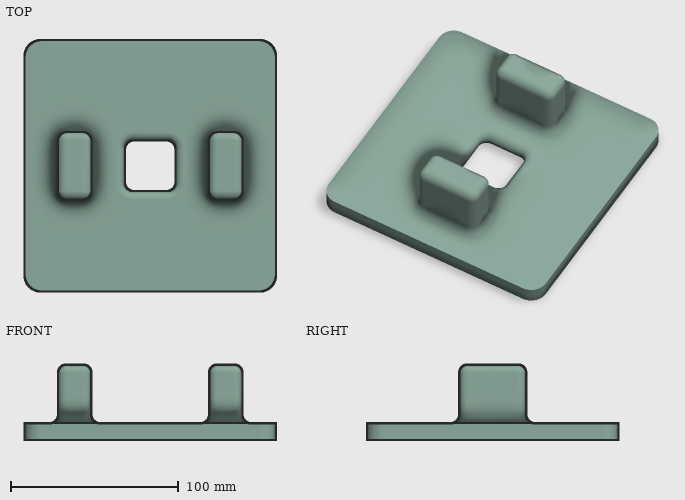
import cadquery as cq

plate_size = 150.0
plate_thickness = 10.0
plate_corner_radius = 10.0

total_height = 45.0
post_width = 20.0
post_length = 40.0
post_offset = 45.0
post_height = total_height - plate_thickness

window_size = 30.0
rim_radius = plate_thickness / 2

edge_radius = 5.0


def make_plate():
    """Rounded square plate standing on Z = 0."""
    plate = cq.Workplane("XY").box(plate_size, plate_size, plate_thickness, centered=(True, True, False))
    return plate.edges("|Z").fillet(plate_corner_radius)


def cut_window(plate):
    """Cut an oversize window, then line it with a bead of half-round section."""
    opening_size = window_size + 2 * rim_radius
    opening_corner_radius = edge_radius + rim_radius
    opening = (
        cq.Workplane("XY")
        .rect(opening_size, opening_size)
        .extrude(plate_thickness)
        .edges("|Z")
        .fillet(opening_corner_radius)
    )
    bead_path = opening.faces("<Z").wires()
    bead = (
        cq.Workplane("XZ", origin=(opening_size / 2, 0, 0))
        .threePointArc((-rim_radius, rim_radius), (0, plate_thickness))
        .close()
        .sweep(bead_path)
    )
    return plate.cut(opening).union(bead)


def add_post(body, center_x):
    """Add a post with rounded sides and top, blended into the plate."""
    post = (
        cq.Workplane("XY", origin=(center_x, 0, plate_thickness))
        .rect(post_width, post_length)
        .extrude(post_height)
        .edges("|Z")
        .fillet(edge_radius)
        .faces(">Z")
        .edges()
        .fillet(edge_radius)
    )
    root_reach = edge_radius / 2
    root = cq.selectors.BoxSelector(
        (center_x - post_width, -post_length, plate_thickness - root_reach),
        (center_x + post_width, post_length, plate_thickness + root_reach),
    )
    return body.union(post).edges(root).fillet(edge_radius)


result = cut_window(make_plate())
for side in (-1, 1):
    result = add_post(result, side * post_offset)